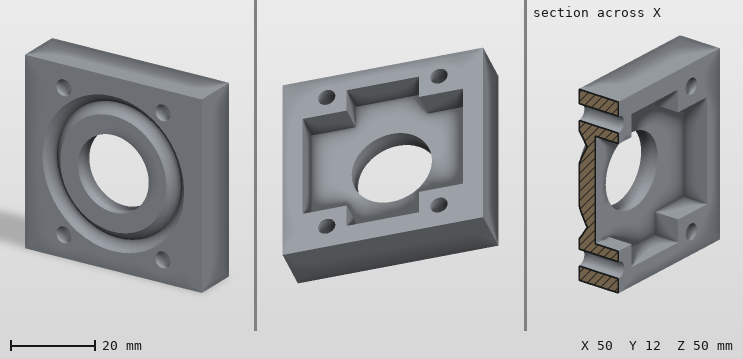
import cadquery as cq

side = 50.0
thickness = 12.0
front_y = -thickness / 2
back_y = thickness / 2

bore_diameter = 20.0
groove_inner_radius = 15.0
groove_outer_radius = 20.0
groove_depth = 2.5

hole_diameter = 4.3
hole_x = 14.0
hole_z = 19.0

floor_thickness = 5.0
wall_thickness = 5.0
block_margin = 5.0
cavity_depth = thickness - floor_thickness
cavity_side = side - 2 * wall_thickness
block_gap_x = 2 * (hole_x - block_margin)
block_gap_z = 2 * (hole_z - block_margin)


def v_groove():
    """Ring of triangular section, revolved about the Y axis."""
    bottom_radius = (groove_inner_radius + groove_outer_radius) / 2
    return (
        cq.Workplane("XY")
        .moveTo(groove_inner_radius, front_y)
        .lineTo(groove_outer_radius, front_y)
        .lineTo(bottom_radius, front_y + groove_depth)
        .close()
        .revolve(360, (0, 0, 0), (0, 1, 0))
    )


def through_cylinders(diameter, centers):
    """Cylinders along Y through the whole thickness."""
    return (
        cq.Workplane("XZ", origin=(0, back_y, 0))
        .pushPoints(centers)
        .circle(diameter / 2)
        .extrude(thickness)
    )


def rear_cavity():
    """Cross-shaped pocket open at the back, leaving the four corner blocks."""
    back_plane = cq.Workplane("XZ", origin=(0, back_y, 0))
    upright = back_plane.rect(block_gap_x, cavity_side).extrude(cavity_depth)
    crossbar = back_plane.rect(cavity_side, block_gap_z).extrude(cavity_depth)
    return upright.union(crossbar)


hole_centers = [(x, z) for x in (-hole_x, hole_x) for z in (-hole_z, hole_z)]

result = (
    cq.Workplane("XY")
    .box(side, thickness, side)
    .cut(rear_cavity())
    .cut(v_groove())
    .cut(through_cylinders(bore_diameter, [(0, 0)]))
    .cut(through_cylinders(hole_diameter, hole_centers))
)